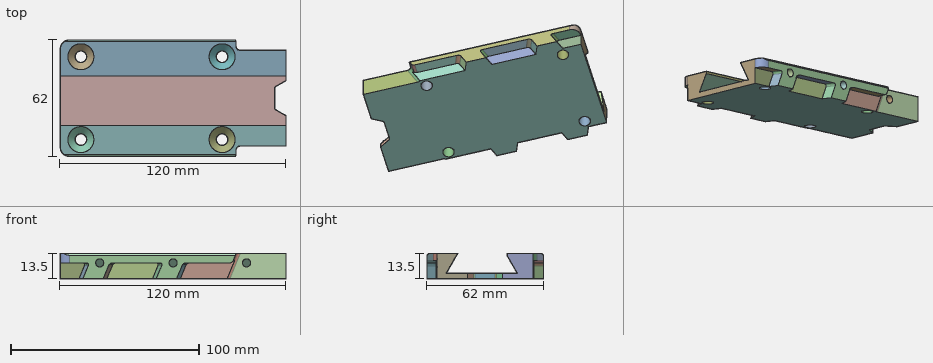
import cadquery as cq
import math

length = 120.0
width = 62.0
height = 13.5
half_width = width / 2
corner_radius = 5.0
edge_chamfer = 1.0

floor_thickness = 3.0
groove_angle = math.radians(60)
groove_root_front = -20.6
groove_root_back = 17.0
back_lip_height = 1.3

narrow_half_width = 25.5
lean_angle = math.radians(22.5)
lean = math.tan(lean_angle)
flange_end_x = 87.9
flange_end_fillet = 2.0
flange_corner_radius = 2.0

pocket_floor_y = 26.0
flange_underside = 8.5
tooth_count = 2
tooth_pitch = 39.0
first_tooth_x = 17.4
tooth_root_half = 7.4
tooth_tip_half = 5.4
acute_corner_radius = 1.0
obtuse_corner_radius = 2.4

screw_x = (11.0, 86.0)
screw_y = 22.0
screw_diameter = 6.0
screw_head_diameter = 13.8
screw_head_angle = 90
cross_hole_diameter = 4.3
first_cross_hole_x = 21.0
cross_hole_count = 3
cross_hole_end_y = -10.0

notch_depth = 6.0
notch_mouth_half = 9.3
notch_angle = math.radians(30)
notch_corner_radius = 1.0

clearance = 2.0


def make_block():
    block = cq.Workplane("XY").box(length, width, height, centered=(False, True, False))
    return block.edges("|Z and <X").fillet(corner_radius)


def both_sides(cutter):
    """Return the -Y side cutter joined with its mirror image on the +Y side."""
    return cutter.add(cutter.mirror("XZ")).combine()


def make_groove():
    undercut = 1 / math.tan(groove_angle)
    front_top = groove_root_front + (height - floor_thickness) * undercut
    back_top = groove_root_back - (height - floor_thickness - back_lip_height) * undercut
    outline = [
        (groove_root_front, floor_thickness),
        (groove_root_back, floor_thickness),
        (back_top, height - back_lip_height),
        (back_top, height),
        (front_top, height),
    ]
    return cq.Workplane("YZ").polyline(outline).close().extrude(length)


def make_edge_chamfer():
    outline = [
        (-half_width, height),
        (-half_width + edge_chamfer, height),
        (-half_width, height - edge_chamfer),
    ]
    return cq.Workplane("YZ").polyline(outline).close().extrude(length)


def make_narrow_end():
    """Cutter for the narrow end; its leaning wall meets the side in a fillet."""
    outline = [
        (flange_end_x - clearance * lean, -clearance),
        (length + clearance, -clearance),
        (length + clearance, height + clearance),
        (flange_end_x + (height + clearance) * lean, height + clearance),
    ]
    depth = half_width - narrow_half_width + clearance
    side_plane = cq.Workplane("XZ", origin=(0, -narrow_half_width, 0))
    cutter = side_plane.polyline(outline).close().extrude(depth)
    root_edge = cq.NearestToPointSelector((flange_end_x + height / 2 * lean, -narrow_half_width, height / 2))
    return cutter.edges(root_edge).fillet(flange_end_fillet)


def tooth_x(index):
    """X of a tooth's midline at the bottom face."""
    return first_tooth_x + index * tooth_pitch


def pocket_outline(left, right):
    """Outline leaning in +X, given by its left and right ends at the bottom face."""
    shift = flange_underside * lean
    return [(left, 0), (right, 0), (right + shift, flange_underside), (left + shift, flange_underside)]


def make_pocket(left_tooth, right_tooth):
    """Cutter between two tooth positions, widening from its floor outwards.

    Positions before the first tooth or after the last one lie at or past the ends of the flange.
    """
    floor_ends = (tooth_x(left_tooth) + tooth_root_half, tooth_x(right_tooth) - tooth_root_half)
    mouth_ends = (tooth_x(left_tooth) + tooth_tip_half, tooth_x(right_tooth) - tooth_tip_half)
    cutter = (
        cq.Workplane("XZ", origin=(0, -pocket_floor_y, 0))
        .polyline(pocket_outline(*floor_ends)).close()
        .workplane(offset=half_width - pocket_floor_y)
        .polyline(pocket_outline(*mouth_ends)).close()
        .loft(ruled=True)
    )

    shift = flange_underside * lean
    middle_y = -(pocket_floor_y + half_width) / 2
    middle_left = (floor_ends[0] + mouth_ends[0]) / 2 + shift
    middle_right = (floor_ends[1] + mouth_ends[1]) / 2 + shift
    left_edge = cq.NearestToPointSelector((middle_left, middle_y, flange_underside))
    right_edge = cq.NearestToPointSelector((middle_right, middle_y, flange_underside))
    cutter = cutter.edges(right_edge).fillet(acute_corner_radius)
    return cutter.edges(left_edge).fillet(obtuse_corner_radius)


def make_flange_corner():
    """Cutter that opens the last pocket past the flange end and rounds the flange's lower corner."""
    corner_x = flange_end_x + flange_underside * lean
    tangent = flange_corner_radius * math.tan(math.pi / 4 - lean_angle / 2)
    start_x = corner_x - tangent
    end = (corner_x + tangent * math.sin(lean_angle), flange_underside + tangent * math.cos(lean_angle))
    turn = (math.pi / 2 - lean_angle) / 2
    middle = (
        start_x + flange_corner_radius * math.sin(turn),
        flange_underside + flange_corner_radius * (1 - math.cos(turn)),
    )
    far_x = end[0] + flange_end_fillet / math.cos(lean_angle)
    return (
        cq.Workplane("XZ", origin=(0, -pocket_floor_y, 0))
        .moveTo(start_x, flange_underside)
        .threePointArc(middle, end)
        .lineTo(far_x, end[1])
        .lineTo(far_x, 0)
        .lineTo(start_x - flange_underside * lean, 0)
        .close()
        .extrude(half_width - pocket_floor_y)
    )


def make_cross_holes():
    points = [(first_cross_hole_x + i * tooth_pitch, flange_underside) for i in range(cross_hole_count)]
    return (
        cq.Workplane("XZ", origin=(0, cross_hole_end_y, 0))
        .pushPoints(points).circle(cross_hole_diameter / 2).extrude(half_width)
    )


def make_notch():
    inner_half = notch_mouth_half - notch_depth * math.tan(notch_angle)
    outline = [
        (length, -notch_mouth_half),
        (length, notch_mouth_half),
        (length - notch_depth, inner_half),
        (length - notch_depth, -inner_half),
    ]
    notch = cq.Workplane("XY").polyline(outline).close().extrude(height)
    return notch.edges("|Z and <X").fillet(notch_corner_radius)


result = make_block().cut(make_groove()).cut(make_notch())
result = result.cut(both_sides(make_edge_chamfer())).cut(both_sides(make_narrow_end()))
for tooth in range(-1, tooth_count):
    result = result.cut(both_sides(make_pocket(tooth, tooth + 1)))
result = result.cut(both_sides(make_flange_corner()))
result = result.cut(make_cross_holes())
screw_points = [(x, y) for x in screw_x for y in (-screw_y, screw_y)]
result = (
    result.faces(">Z").workplane(origin=(0, 0, height)).pushPoints(screw_points)
    .cskHole(screw_diameter, screw_head_diameter, screw_head_angle)
)